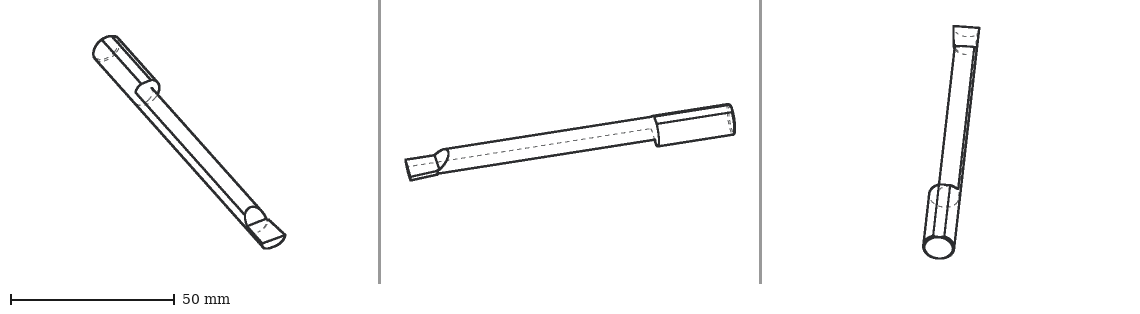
import cadquery as cq
import math


OVERALL_LENGTH = 101.6

SHANK_DIAMETER = 9.525
SHANK_RADIUS = SHANK_DIAMETER / 2
SHANK_LENGTH = 24.0
SHANK_FLAT_Z = 4.445
SHANK_CHAMFER = 0.4

NECK_RADIUS = 3.575
NECK_CENTER_Y = -1.475
NECK_FILLET = 0.7

RAKE_FACE_Z = 0.0
RAKE_FACE_START_X = 92.2
RAMP_ANGLE = 45.0
TIP_START_X = 92.8
TIP_Y = 3.25
SIDE_RELIEF_ANGLE = 5.0
END_CUTTING_ANGLE = 2.0
END_RELIEF_ANGLE = 7.0


def cylinder_x(radius, start_x, end_x):
    """Solid cylinder along X."""
    plane = cq.Workplane("YZ", origin=(start_x, 0, 0))
    return plane.circle(radius).extrude(end_x - start_x)


def make_shank():
    """Round shank with a chamfered rear end and a flat along its top."""
    shank = cylinder_x(SHANK_RADIUS, 0, SHANK_LENGTH).faces("<X").chamfer(SHANK_CHAMFER)
    above_flat = (
        cq.Workplane("XY", origin=(SHANK_LENGTH / 2, 0, SHANK_FLAT_Z))
        .rect(SHANK_LENGTH, SHANK_DIAMETER)
        .extrude(SHANK_RADIUS)
    )
    return shank.cut(above_flat)


def make_neck():
    """Neck with a concave fillet where it leaves the shank."""
    arc_offset = NECK_FILLET * (1 - math.sqrt(0.5))
    neck = (
        cq.Workplane("XY")
        .moveTo(SHANK_LENGTH, 0)
        .lineTo(SHANK_LENGTH, NECK_RADIUS + NECK_FILLET)
        .threePointArc(
            (SHANK_LENGTH + arc_offset, NECK_RADIUS + arc_offset),
            (SHANK_LENGTH + NECK_FILLET, NECK_RADIUS),
        )
        .lineTo(OVERALL_LENGTH, NECK_RADIUS)
        .lineTo(OVERALL_LENGTH, 0)
        .close()
        .revolve(360, (0, 0, 0), (1, 0, 0))
        .translate((0, NECK_CENTER_Y, 0))
    )
    return neck.cut(make_ramp_cut())


def make_ramp_cut():
    """Space above the rake face and the ramp leading down to it."""
    height = SHANK_DIAMETER
    ramp_length = height / math.tan(math.radians(RAMP_ANGLE))
    return (
        cq.Workplane("XZ")
        .moveTo(RAKE_FACE_START_X, RAKE_FACE_Z)
        .lineTo(OVERALL_LENGTH, RAKE_FACE_Z)
        .lineTo(OVERALL_LENGTH, RAKE_FACE_Z + height)
        .lineTo(RAKE_FACE_START_X - ramp_length, RAKE_FACE_Z + height)
        .close()
        .extrude(SHANK_DIAMETER, both=True)
    )


def make_tip():
    """Half-round tip whose +Y side leans outwards towards the cutting corner."""
    tip_length = OVERALL_LENGTH - TIP_START_X
    end_center_y = TIP_Y - NECK_RADIUS
    start_center_y = end_center_y - tip_length * math.tan(math.radians(SIDE_RELIEF_ANGLE))
    center_line = (
        cq.Workplane("XY", origin=(0, 0, RAKE_FACE_Z))
        .moveTo(TIP_START_X, start_center_y)
        .lineTo(OVERALL_LENGTH, end_center_y)
    )
    section = cq.Workplane("YZ", origin=(TIP_START_X, start_center_y, RAKE_FACE_Z))
    return (
        section.moveTo(-NECK_RADIUS, 0)
        .threePointArc((0, -NECK_RADIUS), (NECK_RADIUS, 0))
        .close()
        .sweep(center_line)
    )


def make_end_cut():
    """Space beyond the end face, which leans back from the cutting corner towards -Y and -Z."""
    block_size = 4 * SHANK_DIAMETER
    block = cq.Workplane("XY").box(block_size, block_size, block_size, centered=(False, True, True))
    block = block.rotate((0, 0, 0), (0, 1, 0), END_RELIEF_ANGLE)
    block = block.rotate((0, 0, 0), (0, 0, 1), -END_CUTTING_ANGLE)
    return block.translate((OVERALL_LENGTH, TIP_Y, RAKE_FACE_Z))


envelope = cylinder_x(SHANK_RADIUS, 0, OVERALL_LENGTH)
working_end = make_neck().union(make_tip()).cut(make_end_cut()).intersect(envelope)
result = make_shank().union(working_end)